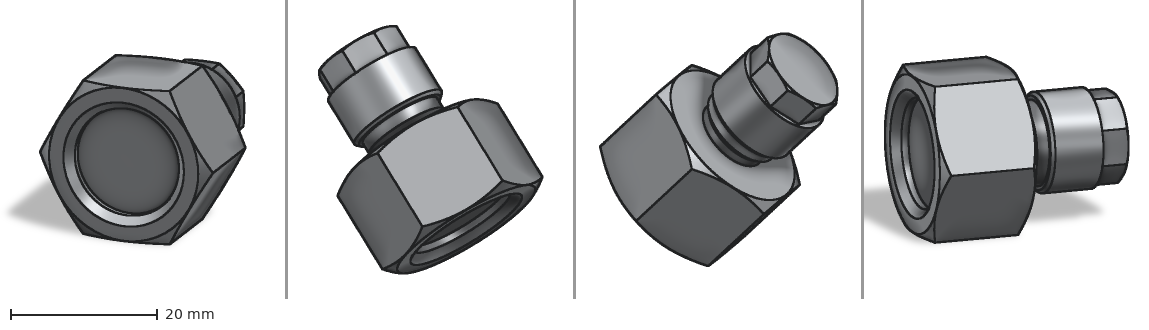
import cadquery as cq
import math

total_length = 29.2
nut_length = 14.02
neck_end = 15.27
collar_start = 17.72
collar_end = 25.2

nut_sides = 6
nut_across_flats = 22.0
nut_face_diameter = 21.9
nut_bevel_angle = 30.0

recess_diameter = 15.3
recess_mouth_diameter = 17.7
recess_half_angle = 45.0
recess_depth = 2.25

neck_diameter = 10.48
ring_diameter = 11.88
collar_diameter = 13.95
collar_chamfer = 0.5

octagon_sides = 8
octagon_across_flats = 12.1
octagon_face_diameter = 12.03
octagon_bevel_angle = 30.0

corner_clearance = 0.3


def revolve_profile(points):
    """Revolve (radius, y) points about the Y axis."""
    return cq.Workplane("XY").polyline(points).close().revolve(360, (0, 0, 0), (0, 1, 0))


def prism(sides, across_flats, start, end, turn=0.0):
    """Regular prism along Y; a corner points along +X before turning."""
    corner_diameter = across_flats / math.cos(math.pi / sides)
    return (
        cq.Workplane("XZ", origin=(0, start, 0))
        .polygon(sides, corner_diameter)
        .extrude(start - end)
        .rotate((0, 0, 0), (0, 1, 0), turn)
    )


def bevel_envelope(sides, across_flats, face_diameter, angle, start, end, bevel_start):
    """Round body whose conical ends trim the corners of a prism."""
    face_radius = face_diameter / 2
    corner_radius = across_flats / 2 / math.cos(math.pi / sides)
    outer_radius = corner_radius + corner_clearance
    drop = (outer_radius - face_radius) * math.tan(math.radians(angle))
    points = [(0, start)]
    if bevel_start:
        points += [(face_radius, start), (outer_radius, start + drop)]
    else:
        points += [(outer_radius, start)]
    points += [(outer_radius, end - drop), (face_radius, end), (0, end)]
    return revolve_profile(points)


def make_nut():
    body = prism(nut_sides, nut_across_flats, 0, nut_length)
    return body.intersect(
        bevel_envelope(nut_sides, nut_across_flats, nut_face_diameter, nut_bevel_angle,
                       0, nut_length, bevel_start=True)
    )


def make_recess():
    mouth_radius = recess_mouth_diameter / 2
    bore_radius = recess_diameter / 2
    cone_depth = (mouth_radius - bore_radius) / math.tan(math.radians(recess_half_angle))
    return revolve_profile([
        (0, 0),
        (mouth_radius, 0),
        (bore_radius, cone_depth),
        (bore_radius, recess_depth),
        (0, recess_depth),
    ])


def make_stem():
    neck_radius = neck_diameter / 2
    ring_radius = ring_diameter / 2
    collar_radius = collar_diameter / 2
    ring_start = neck_end + ring_radius - neck_radius
    return revolve_profile([
        (0, nut_length),
        (neck_radius, nut_length),
        (neck_radius, neck_end),
        (ring_radius, ring_start),
        (ring_radius, collar_start),
        (collar_radius - collar_chamfer, collar_start),
        (collar_radius, collar_start + collar_chamfer),
        (collar_radius, collar_end),
        (0, collar_end),
    ])


def make_octagon():
    body = prism(octagon_sides, octagon_across_flats, collar_end, total_length, turn=180 / octagon_sides)
    return body.intersect(
        bevel_envelope(octagon_sides, octagon_across_flats, octagon_face_diameter,
                       octagon_bevel_angle, collar_end, total_length, bevel_start=False)
    )


result = make_nut().cut(make_recess()).union(make_stem()).union(make_octagon())